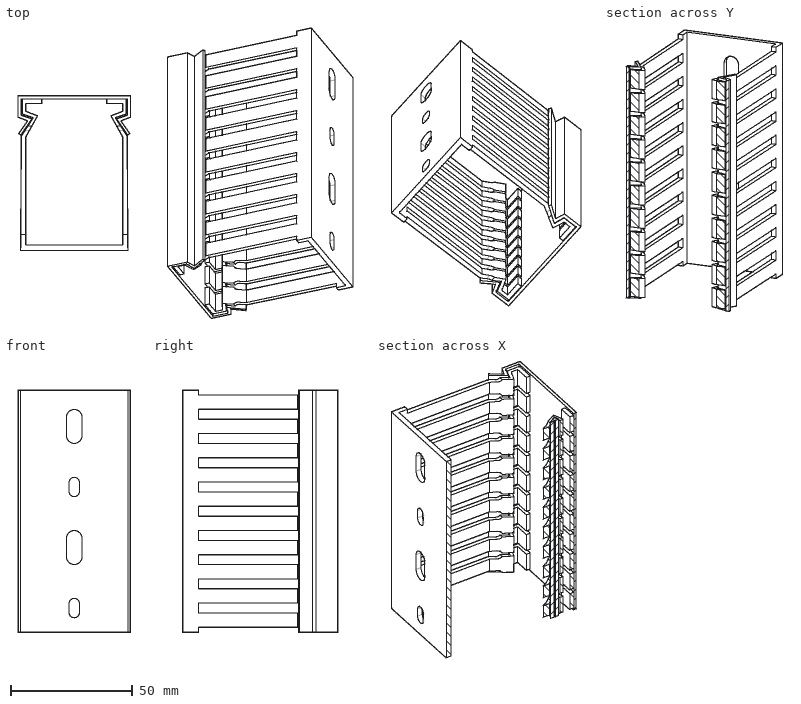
import cadquery as cq


length = 100.0
cover_width = 46.6
total_height = 64.0

cover_wall = 1.4
cover_half = cover_width / 2
cover_inner_half = cover_half - cover_wall
cover_inner_top = total_height - cover_wall
cover_side_bottom = 55.1
cover_shelf_y = 56.0
cover_notch_outer = (19.3, 53.6)
cover_notch_inner = (17.4, 54.5)
lip_end_outer = (23.0, 48.3)
lip_end_inner = (22.0, 47.7)

base_half = 22.2
base_thickness = 2.4
wall_inner_half = 20.0
kink_outer_y = 47.3
kink_inner_y = 46.9
kink_outer_half = 21.9
bend_tip_inner = (15.1, 55.7)
bend_tip_outer = (17.0, 54.9)
head_inner_y = 57.6
head_outer_y = 56.4
head_outer_half = 21.5
tab_thickness = 1.9
tab_end_half = 13.4

finger_pitch = 10.0
gap_width = 4.0
gap_bottom_y = 6.6
gap_top_y = 51.7
slit_width = 1.8

slot_pitch = 50.0
large_slot_length = 14.0
large_slot_width = 6.5
large_slot_z = 35.0
small_slot_length = 8.0
small_slot_width = 4.3
small_slot_z = 10.0
upright = 90


def extrude_symmetric(half_outline):
    """Extrude the outline closed by the mirror image of the half outline across X = 0."""
    mirrored = [(-x, y) for x, y in reversed(half_outline)]
    return cq.Workplane("XY").polyline(half_outline + mirrored).close().extrude(length)


def make_cover():
    return extrude_symmetric([
        (cover_half, total_height),
        (cover_half, cover_side_bottom),
        cover_notch_outer,
        lip_end_outer,
        lip_end_inner,
        cover_notch_inner,
        (cover_inner_half, cover_shelf_y),
        (cover_inner_half, cover_inner_top),
    ])


def make_duct_profile():
    return extrude_symmetric([
        (base_half, 0),
        (kink_outer_half, kink_outer_y),
        bend_tip_outer,
        (head_outer_half, head_outer_y),
        (head_outer_half, cover_inner_top),
        (tab_end_half, cover_inner_top),
        (tab_end_half, cover_inner_top - tab_thickness),
        (wall_inner_half, cover_inner_top - tab_thickness),
        (wall_inner_half, head_inner_y),
        bend_tip_inner,
        (wall_inner_half, kink_inner_y),
        (wall_inner_half, base_thickness),
    ])


def make_finger_gap(z):
    """Round-ended gap between two fingers, continued to the finger tips by a narrow slit."""
    end_radius = gap_width / 2
    straight_length = gap_top_y - end_radius - gap_bottom_y
    straight = cq.Workplane("XY").box(cover_width, straight_length, gap_width, centered=(True, False, True))
    rounded_end = (
        cq.Workplane("YZ")
        .center(straight_length, 0)
        .circle(end_radius)
        .extrude(cover_half, both=True)
    )
    slit = cq.Workplane("XY").box(cover_width, total_height, slit_width, centered=(True, False, True))
    return straight.union(rounded_end).union(slit).translate((0, gap_bottom_y, z))


def make_mounting_slot(slot_length, slot_width, z):
    return (
        cq.Workplane("XZ")
        .center(0, z)
        .slot2D(slot_length, slot_width, upright)
        .extrude(-base_thickness)
    )


def make_duct():
    duct = make_duct_profile()
    for i in range(round(length / finger_pitch) + 1):
        duct = duct.cut(make_finger_gap(i * finger_pitch))
    for i in range(round(length / slot_pitch)):
        offset = i * slot_pitch
        duct = duct.cut(make_mounting_slot(large_slot_length, large_slot_width, large_slot_z + offset))
        duct = duct.cut(make_mounting_slot(small_slot_length, small_slot_width, small_slot_z + offset))
    return duct


cover = make_cover()
duct = make_duct()
result = cq.Compound.makeCompound([cover.val(), duct.val()])